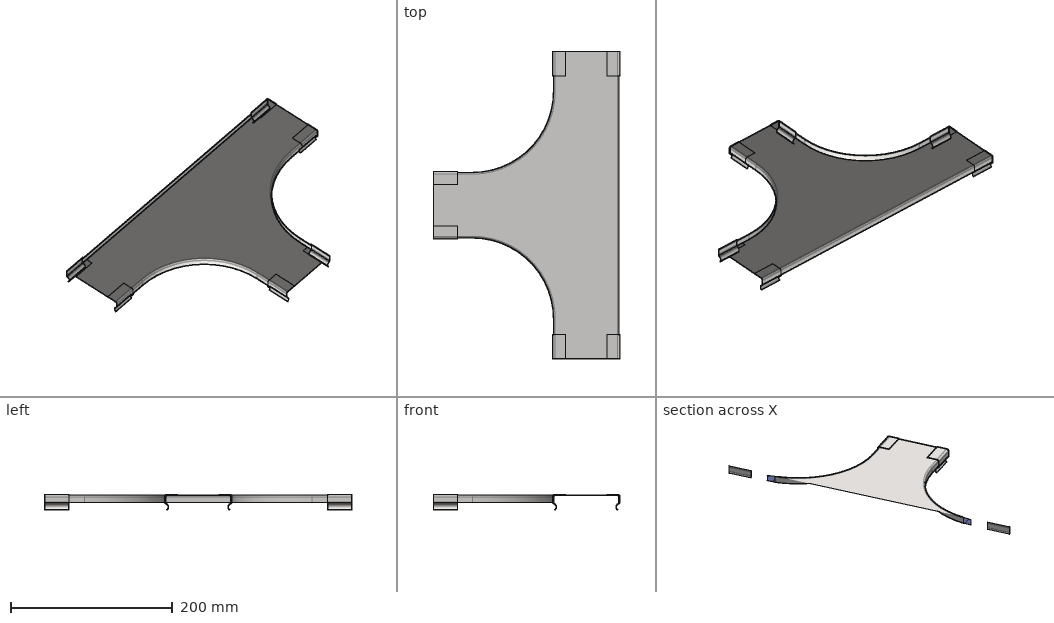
import cadquery as cq
import math


total_length = 380.2
total_width = 231.0
total_height = 19.5
arm_width = 83.5

clip_thickness = 0.8
clip_length = 30.0
clip_flange = 16.0
clip_bend_radius = 3.0
leg_depth = 9.5
leg_bend_radius = 2.5
leg_bend_angle = 72
hook_radius = 3.8

sheet_thickness = 0.8
cover_bend_radius = 2.3
skirt_height = 9.5
skirt_gap = 0.5
corner_radius = 100.0

half_arm = arm_width / 2
half_cover = half_arm - clip_thickness - skirt_gap
run_reach = total_length / 2
branch_reach = total_width - half_arm


def tee_block(inset, bend_radius):
    """Tee-shaped block with rounded upper side edges, its sides and top moved inward by the inset."""
    half = half_cover - inset
    radius = corner_radius + inset
    center = half + radius
    middle = center - radius * math.sqrt(0.5)
    height = skirt_height - inset
    block = (
        cq.Workplane("XY", origin=(0, 0, -clip_thickness - skirt_height))
        .moveTo(half, -run_reach)
        .lineTo(half, run_reach)
        .lineTo(-half, run_reach)
        .lineTo(-half, center)
        .threePointArc((-middle, middle), (-center, half))
        .lineTo(-branch_reach, half)
        .lineTo(-branch_reach, -half)
        .lineTo(-center, -half)
        .threePointArc((-middle, -middle), (-half, -center))
        .lineTo(-half, -run_reach)
        .close()
        .extrude(height)
    )
    end_edges = block.faces("<X or <Y or >Y").edges()
    side_edges = block.faces(">Z").edges().objects
    side_edges = [edge for edge in side_edges if not any(edge.isSame(end) for end in end_edges.vals())]
    return block.newObject(side_edges).fillet(bend_radius)


def make_cover():
    """Sheet with a skirt along every side and open arm ends."""
    outside = tee_block(0, cover_bend_radius)
    inside = tee_block(sheet_thickness, cover_bend_radius - sheet_thickness)
    return outside.cut(inside)


def arc_point(center, radius, angle):
    """Point of a circle in the clip profile, with the angle in degrees counted from inward to up."""
    radians = math.radians(angle)
    return center[0] + radius * math.cos(radians), center[1] + radius * math.sin(radians)


def make_clip(arm_reach):
    """Clip on the -X side of an arm that points to -Y: top flange, leg and inward hook."""
    top_center = (clip_bend_radius, -clip_bend_radius)
    top_inside = clip_bend_radius - clip_thickness
    top_middle = 135

    leg_center = (leg_bend_radius, -leg_depth)
    leg_inside = leg_bend_radius - clip_thickness
    leg_end = 180 + leg_bend_angle
    leg_middle = 180 + leg_bend_angle / 2

    hook_center = arc_point(leg_center, leg_bend_radius + hook_radius, leg_end)
    hook_back = hook_radius + clip_thickness
    hook_start = leg_bend_angle
    hook_end = -math.degrees(math.asin((total_height + hook_center[1]) / hook_back))
    hook_middle = (hook_start + hook_end) / 2

    return (
        cq.Workplane("XZ", origin=(-half_arm, -arm_reach, 0))
        .moveTo(clip_flange, 0)
        .lineTo(clip_bend_radius, 0)
        .threePointArc(arc_point(top_center, clip_bend_radius, top_middle), (0, -clip_bend_radius))
        .lineTo(0, -leg_depth)
        .threePointArc(
            arc_point(leg_center, leg_bend_radius, leg_middle),
            arc_point(leg_center, leg_bend_radius, leg_end),
        )
        .threePointArc(
            arc_point(hook_center, hook_radius, hook_middle),
            arc_point(hook_center, hook_radius, hook_end),
        )
        .lineTo(*arc_point(hook_center, hook_back, hook_end))
        .threePointArc(
            arc_point(hook_center, hook_back, hook_middle),
            arc_point(hook_center, hook_back, hook_start),
        )
        .threePointArc(
            arc_point(leg_center, leg_inside, leg_middle),
            (clip_thickness, -leg_depth),
        )
        .lineTo(clip_thickness, -clip_bend_radius)
        .threePointArc(arc_point(top_center, top_inside, top_middle), (clip_bend_radius, -clip_thickness))
        .lineTo(clip_flange, -clip_thickness)
        .close()
        .extrude(-clip_length)
    )


arms = [(0, run_reach), (180, run_reach), (-90, branch_reach)]

cover = make_cover()

clips = []
for turn, arm_reach in arms:
    left_clip = make_clip(arm_reach)
    right_clip = left_clip.mirror("YZ")
    for clip in (left_clip, right_clip):
        clips.append(clip.rotate((0, 0, 0), (0, 0, 1), turn).val())

result = cq.Compound.makeCompound([cover.val(), *clips])